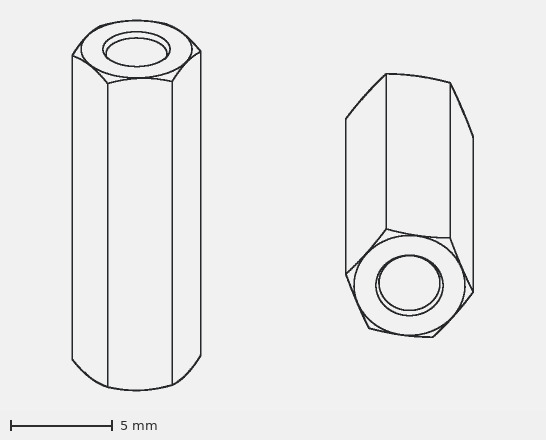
import cadquery as cq
import math

length = 18.0
across_flats = 5.5
across_corners = across_flats / math.cos(math.radians(30))
bore_diameter = 3.0
bore_mouth_diameter = 3.31
bore_chamfer_angle = 60.0
end_face_diameter = 5.47
corner_chamfer_angle = 30.0


def hexagonal_body():
    return cq.Workplane("XY").polygon(6, across_corners).extrude(length)


def revolved_with_end_cones(end_diameter, middle_diameter, cone_angle):
    """Full-length round solid whose diameter changes conically at both ends."""
    end_radius = end_diameter / 2
    middle_radius = middle_diameter / 2
    depth = abs(middle_radius - end_radius) * math.tan(math.radians(cone_angle))
    profile = [
        (0, 0),
        (end_radius, 0),
        (middle_radius, depth),
        (middle_radius, length - depth),
        (end_radius, length),
        (0, length),
    ]
    return cq.Workplane("XZ").polyline(profile).close().revolve(360, (0, 0, 0), (0, 1, 0))


corner_envelope = revolved_with_end_cones(end_face_diameter, across_corners, corner_chamfer_angle)

bore = revolved_with_end_cones(bore_mouth_diameter, bore_diameter, bore_chamfer_angle)

result = hexagonal_body().intersect(corner_envelope).cut(bore)